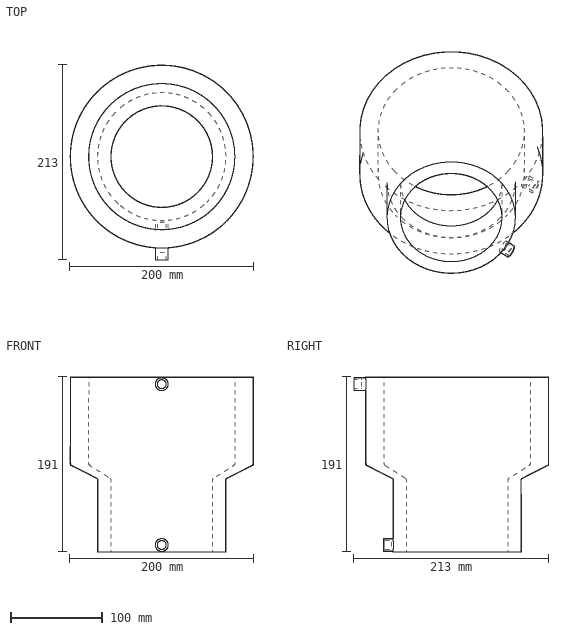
import cadquery as cq
import math

height = 191.0
large_outer_diameter = 200.0
large_outer_radius = large_outer_diameter / 2
large_bore_radius = 79.9
small_outer_radius = 70.0
small_bore_radius = 55.4
large_base_z = 95.0
small_top_z = 79.9
outer_round = 1.7
inner_round = 3.0

pin_radius = 7.0
pin_bore_radius = 5.0
pin_center_inset = 7.7
pin_bore_depth = 8.5
overall_depth = 213.0
large_pin_tip = overall_depth - large_outer_radius
small_pin_tip = 80.3
pin_root_depth = 4.3


def make_body():
    """Revolve the wall section of the reducer."""
    section = [
        (small_bore_radius, 0),
        (small_outer_radius, 0),
        (small_outer_radius, small_top_z),
        (large_outer_radius, large_base_z),
        (large_outer_radius, height),
        (large_bore_radius, height),
        (large_bore_radius, large_base_z),
        (small_bore_radius, small_top_z),
    ]
    return cq.Workplane("XZ").polyline(section).close().revolve(360, (0, 0), (0, 1))


def cylinder_to_tip(radius, length, tip, z):
    """Cylinder along Y that ends at Y = -tip."""
    return cq.Workplane("XZ", origin=(0, -tip + length, z)).circle(radius).extrude(length)


def add_pin(body, wall_radius, tip, z):
    """Add a terminal sleeve with a blind bore to the outer wall."""
    length = tip - wall_radius + pin_root_depth
    sleeve = cylinder_to_tip(pin_radius, length, tip, z)
    bore = cylinder_to_tip(pin_bore_radius, pin_bore_depth, tip, z)
    return body.union(sleeve).cut(bore)


def round_edge(body, radius, z, size):
    """Round the circular edge of the given radius at height z."""
    edge = body.edges("%CIRCLE").filter(
        lambda e: math.isclose(e.radius(), radius) and math.isclose(e.startPoint().z, z)
    )
    return edge.fillet(size)


result = make_body()
result = round_edge(result, large_outer_radius, large_base_z, outer_round)
result = round_edge(result, small_outer_radius, small_top_z, outer_round)
result = round_edge(result, large_bore_radius, large_base_z, inner_round)
result = round_edge(result, small_bore_radius, small_top_z, inner_round)
result = add_pin(result, large_outer_radius, large_pin_tip, height - pin_center_inset)
result = add_pin(result, small_outer_radius, small_pin_tip, pin_center_inset)